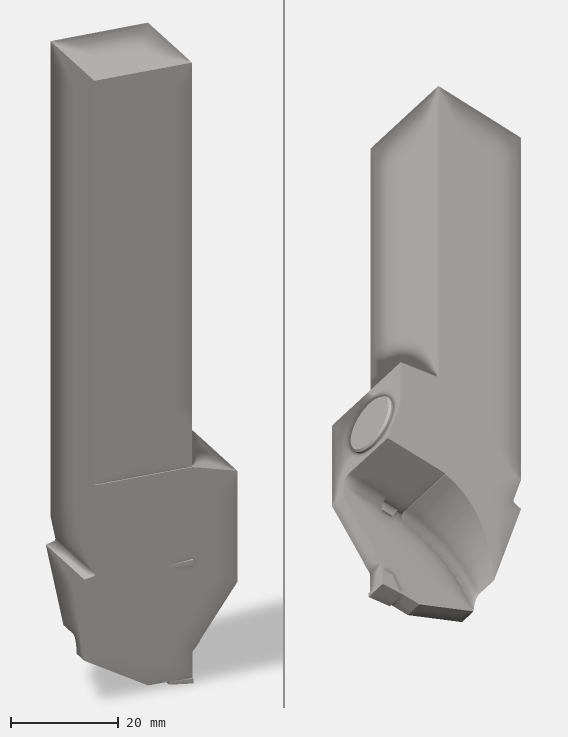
import cadquery as cq
import math

total_length = 126.4
shank_depth = 20.0
shank_right = 20.0
left_taper = 0.3

head_right = 20.2
head_back = 29.0
shoulder_z = 44.0
shoulder_angle = 15.0
lip_front = -2.1
lip_z = 25.1
lip_root_z = 25.5
lip_fillet = 0.5
chamfer_top_z = 29.8
chamfer_end_x = 10.9
chamfer_end_z = 11.9

blade_left = 16.8
blade_bottom = 1.1
blade_heel_y = 10.9
blade_front_z = 8.6
jaw_corner_z = 18.8
jaw_tip_z = 6.3
relief_ceiling = 23.5
relief_radius = 22.9
relief_centre_y = 17.7
relief_fillet = 1.8

insert_left = 16.4
insert_right = 20.6
insert_length = 25.3
insert_bottom_y = 15.2
insert_top_y = shank_depth
tip_relief = 0.5
crown_y = 21.5
crown_start = jaw_tip_z
crown_slope_length = 1.9
tip_length = 4.3
tip_side_depth = 2.4
tip_root_y = 15.9
tip_root_z = 1.0

screw_diameter = 11.9
screw_x = 8.1
screw_z = 30.8
screw_height = 0.9
screw_chamfer = 0.4

relief_overshoot = 0.4
selection_gap = 0.1
margin = 6.3


def prism_along_x(points, x_start, x_end):
    """Extrude a closed (Y, Z) outline between two X positions."""
    outline = cq.Workplane("YZ", origin=(x_start, 0, 0)).polyline(points).close()
    return outline.extrude(x_end - x_start)


def make_shank():
    height = total_length - shoulder_z
    return cq.Workplane("XY").box(shank_right, shank_depth, height, centered=False).translate((0, 0, shoulder_z))


def make_head_blank():
    shoulder_drop = (head_back - shank_depth) * math.tan(math.radians(shoulder_angle))
    outline = [
        (0, shoulder_z),
        (shank_depth, shoulder_z),
        (head_back, shoulder_z - shoulder_drop),
        (head_back, jaw_corner_z),
        (insert_top_y, jaw_tip_z),
        (insert_top_y, blade_bottom),
        (blade_heel_y, blade_bottom),
        (lip_front, blade_front_z),
        (lip_front, lip_z),
        (0, lip_root_z),
    ]
    head = prism_along_x(outline, 0, head_right)
    inner_corner = cq.selectors.BoxSelector(
        (-margin, -lip_fillet / 2, lip_root_z - lip_fillet / 2),
        (head_right + margin, lip_fillet / 2, lip_root_z + lip_fillet / 2),
    )
    return head.edges(inner_corner).fillet(lip_fillet)


def make_side_chamfer():
    """Wedge that slopes the head's left side towards the blade."""
    slope = (chamfer_top_z - chamfer_end_z) / chamfer_end_x
    low_z = chamfer_top_z - slope * blade_left
    outline = [
        (-margin, chamfer_top_z + margin * slope),
        (blade_left, low_z),
        (-margin, low_z),
    ]
    depth = head_back - lip_front + 2 * margin
    wedge = cq.Workplane("XZ", origin=(0, head_back + margin, 0))
    return wedge.polyline(outline).close().extrude(depth)


def make_left_taper():
    """Thin wedge that leans the left side from the back of the head to the shank front."""
    slope = left_taper / head_back
    front_y = lip_front - margin
    outline = [(0, head_back), (slope * (head_back - front_y), front_y), (0, front_y)]
    return cq.Workplane("XY").polyline(outline).close().extrude(total_length)


def relief_outline_z(y):
    """Height of the arched relief ceiling at a given Y."""
    offset = relief_centre_y - y
    return relief_ceiling - relief_radius + math.sqrt(relief_radius**2 - offset**2)


def make_side_relief():
    """Arched space below the head, with a fillet where its ceiling meets the blade."""
    back = head_back + margin
    front = lip_front - relief_overshoot
    middle = (relief_centre_y + front) / 2
    cutter = (
        cq.Workplane("YZ", origin=(-margin, 0, 0))
        .moveTo(back, -margin)
        .lineTo(back, relief_ceiling)
        .lineTo(relief_centre_y, relief_ceiling)
        .threePointArc((middle, relief_outline_z(middle)), (front, relief_outline_z(front)))
        .lineTo(front, -margin)
        .close()
        .extrude(blade_left + margin)
    )
    ceiling_edges = cq.selectors.BoxSelector(
        (blade_left - selection_gap, lip_front, relief_outline_z(front)),
        (blade_left + selection_gap, back - selection_gap, relief_ceiling + selection_gap),
    )
    return cutter.edges(ceiling_edges).fillet(relief_fillet)


def make_insert_clearance():
    """Notch through the relief fillet that frees the side of the insert."""
    outline = [
        (insert_bottom_y, 0),
        (insert_top_y, 0),
        (insert_top_y, relief_ceiling),
        (insert_bottom_y, relief_ceiling),
    ]
    return prism_along_x(outline, 0, blade_left)


def make_screw_head():
    head = cq.Workplane("XZ", origin=(screw_x, head_back, screw_z))
    head = head.circle(screw_diameter / 2).extrude(-screw_height)
    return head.faces(">Y").chamfer(screw_chamfer)


def make_insert():
    crown_end = insert_length - crown_start
    outline = [
        (insert_bottom_y, tip_relief),
        (insert_top_y, 0),
        (insert_top_y, crown_start),
        (crown_y, crown_start + crown_slope_length),
        (crown_y, crown_end - crown_slope_length),
        (insert_top_y, crown_end),
        (insert_top_y, insert_length),
        (insert_bottom_y, insert_length - tip_relief),
    ]
    body = prism_along_x(outline, blade_left, head_right)
    tip = [
        (tip_root_y, tip_root_z),
        (insert_top_y - tip_side_depth, tip_length),
        (insert_top_y, tip_length),
        (insert_top_y, 0),
        (insert_bottom_y, tip_relief),
        (insert_bottom_y, tip_root_z),
    ]
    lower_tip = prism_along_x(tip, insert_left, head_right)

    flare = [
        (insert_bottom_y, tip_relief),
        (insert_top_y, 0),
        (insert_top_y, tip_root_z),
        (insert_bottom_y, tip_root_z),
    ]
    flank = [
        (head_right, insert_bottom_y),
        (insert_right, insert_top_y),
        (head_right, insert_top_y),
    ]
    side_wedge = cq.Workplane("XY").polyline(flank).close().extrude(tip_length)
    side_wedge = side_wedge.intersect(prism_along_x(flare, head_right, insert_right))
    lower_tip = lower_tip.union(side_wedge)
    upper_tip = lower_tip.mirror("XY", (0, 0, insert_length / 2))
    return body.union(lower_tip).union(upper_tip)


insert = make_insert()

holder = make_shank().union(make_head_blank())
holder = holder.cut(make_side_chamfer()).cut(make_left_taper())
holder = holder.cut(make_side_relief()).cut(make_insert_clearance())
holder = holder.union(make_screw_head()).cut(insert)

result = cq.Compound.makeCompound([holder.solids().val(), insert.solids().val()])